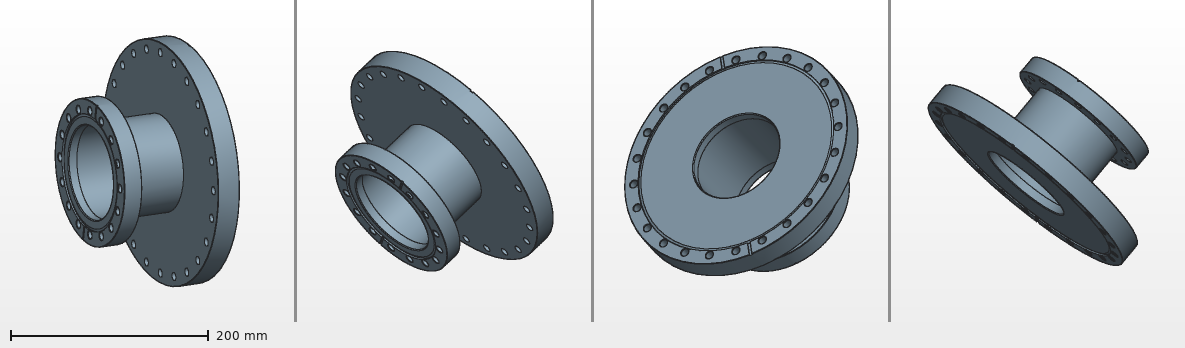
import cadquery as cq
TOTAL_LENGTH = 105.0
FRONT_FACE_Y = -TOTAL_LENGTH / 2
REAR_FACE_Y = TOTAL_LENGTH / 2

TUBE_OUTER_DIAMETER = 101.5
TUBE_BORE_DIAMETER = 97.5
TUBE_SETBACK = 11.0

LIP_BORE_DIAMETER = TUBE_BORE_DIAMETER
LIP_CHAMFER = 1.0

SMALL_DIAMETER = 152.0
SMALL_THICKNESS = 20.0
SMALL_HOLE_COUNT = 16
SMALL_HOLE_CIRCLE = 130.5
SMALL_RECESS_DIAMETER = 120.8
SMALL_GROOVE_WIDTH = 2.0

LARGE_DIAMETER = 253.2
LARGE_THICKNESS = 24.5
LARGE_HOLE_COUNT = 24
LARGE_HOLE_CIRCLE = 232.0
LARGE_RECESS_DIAMETER = 222.3
LARGE_GROOVE_WIDTH = 3.0

HOLE_DIAMETER = 8.4
HOLE_CHAMFER = 0.5
EDGE_CHAMFER = 0.5
RECESS_DEPTH = 2.0
KNIFE_HEIGHT = 1.0
KNIFE_WIDTH = 2.8
GROOVE_DEPTH = 1.3


def flange_blank(diameter, thickness, recess_diameter):
    """Revolved flange about Z with its sealing face at Z = 0 and its body above."""
    outer = diameter / 2
    recess = recess_diameter / 2
    lip = LIP_BORE_DIAMETER / 2
    socket = TUBE_OUTER_DIAMETER / 2
    knife_z = RECESS_DEPTH - KNIFE_HEIGHT
    profile = [
        (lip, knife_z + LIP_CHAMFER),
        (lip + LIP_CHAMFER, knife_z),
        (recess - KNIFE_WIDTH, knife_z),
        (recess, RECESS_DEPTH),
        (recess, 0),
        (outer - EDGE_CHAMFER, 0),
        (outer, EDGE_CHAMFER),
        (outer, thickness - EDGE_CHAMFER),
        (outer - EDGE_CHAMFER, thickness),
        (socket, thickness),
        (socket, TUBE_SETBACK),
        (lip, TUBE_SETBACK),
    ]
    return cq.Workplane("XZ").polyline(profile).close().revolve(360, (0, 0), (0, 1))


def bolt_holes(thickness, count, circle_diameter):
    """Ring of hole cutters, each with a small countersink at the sealing face."""
    hole = cq.Workplane("XY").circle(HOLE_DIAMETER / 2).extrude(thickness).val()
    countersink = cq.Solid.makeCone(HOLE_DIAMETER / 2 + HOLE_CHAMFER, HOLE_DIAMETER / 2, HOLE_CHAMFER)
    cutter = hole.fuse(countersink)
    return (
        cq.Workplane("XY")
        .polarArray(circle_diameter / 2, 90, 360, count)
        .eachpoint(lambda place: cutter.moved(place))
    )


def leak_grooves(diameter, recess_diameter, hole_count, width):
    """Two opposite radial grooves from the recess to the rim, midway between bolt holes."""
    inner = recess_diameter / 2 - KNIFE_WIDTH / 2
    length = diameter / 2 - inner + width
    half_pitch = 180 / hole_count
    return (
        cq.Workplane("XY")
        .polarArray(inner + length / 2, 90 + half_pitch, 360, 2)
        .rect(length, width)
        .extrude(GROOVE_DEPTH)
    )


def flange(diameter, thickness, recess_diameter, hole_count, hole_circle, groove_width):
    return (
        flange_blank(diameter, thickness, recess_diameter)
        .cut(bolt_holes(thickness, hole_count, hole_circle))
        .cut(leak_grooves(diameter, recess_diameter, hole_count, groove_width))
    )


def make_small_flange():
    body = flange(
        SMALL_DIAMETER,
        SMALL_THICKNESS,
        SMALL_RECESS_DIAMETER,
        SMALL_HOLE_COUNT,
        SMALL_HOLE_CIRCLE,
        SMALL_GROOVE_WIDTH,
    )
    return body.rotate((0, 0, 0), (1, 0, 0), -90).translate((0, FRONT_FACE_Y, 0))


def make_large_flange():
    body = flange(
        LARGE_DIAMETER,
        LARGE_THICKNESS,
        LARGE_RECESS_DIAMETER,
        LARGE_HOLE_COUNT,
        LARGE_HOLE_CIRCLE,
        LARGE_GROOVE_WIDTH,
    )
    return body.rotate((0, 0, 0), (1, 0, 0), -90).mirror("XZ").translate((0, REAR_FACE_Y, 0))


def make_tube():
    return (
        cq.Workplane("XZ", origin=(0, REAR_FACE_Y - TUBE_SETBACK, 0))
        .circle(TUBE_OUTER_DIAMETER / 2)
        .circle(TUBE_BORE_DIAMETER / 2)
        .extrude(TOTAL_LENGTH - 2 * TUBE_SETBACK)
    )


small_flange = make_small_flange()
large_flange = make_large_flange()
tube = make_tube()

result = cq.Compound.makeCompound([small_flange.val(), large_flange.val(), tube.val()])